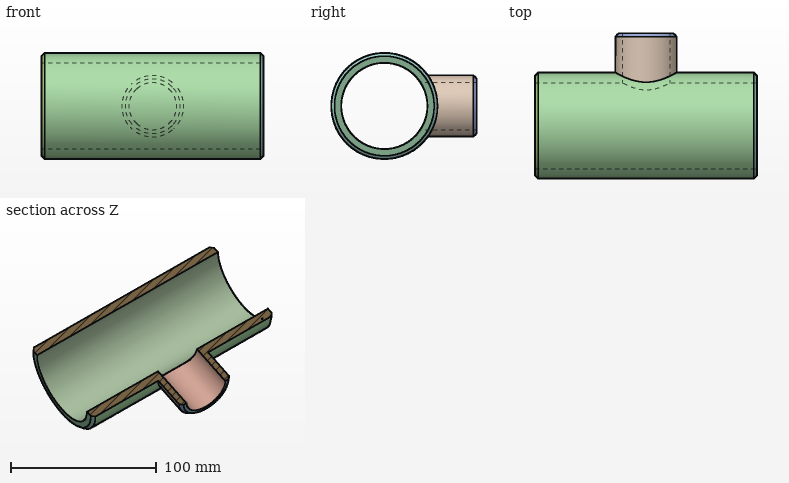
import cadquery as cq

run_length = 152.4
run_diameter = 73.0
run_wall = 7.0
branch_diameter = 42.2
branch_wall = 4.9
branch_reach = 63.4
end_chamfer = 2.3

run_bore = run_diameter - 2 * run_wall
branch_bore = branch_diameter - 2 * branch_wall


def run_cylinder(diameter):
    """Cylinder along X, centred on the origin."""
    return cq.Workplane("YZ").circle(diameter / 2).extrude(run_length / 2, both=True)


def branch_cylinder(diameter):
    """Cylinder along +Y, from the run axis to the branch end."""
    return cq.Workplane("XZ").circle(diameter / 2).extrude(-branch_reach)


run = run_cylinder(run_diameter).faces("<X or >X").chamfer(end_chamfer)
branch = branch_cylinder(branch_diameter).faces(">Y").chamfer(end_chamfer)
body = run.union(branch)

result = body.cut(run_cylinder(run_bore)).cut(branch_cylinder(branch_bore))